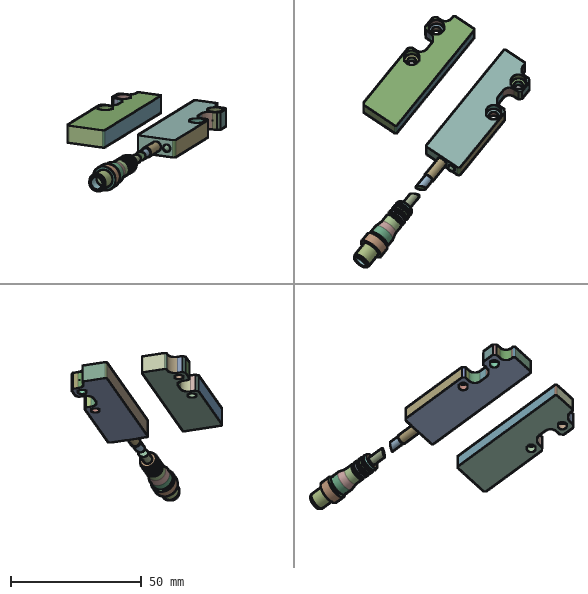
import cadquery as cq
import math


OVERALL_LENGTH = 103.8

BLOCK_WIDTH = 16.0
BLOCK_LENGTH = 51.0
BLOCK_HEIGHT = 7.0
BLOCK_GAP = 14.0
OUTER_CORNER_RADIUS = 1.0
INNER_CORNER_RADIUS = 0.6
CORNER_TOLERANCE = 0.1

RECESS_DEPTH = 6.0
RECESS_RADIUS = 3.0
EAR_LENGTH = 7.0
EAR_CHAMFER = 1.0
HOLE_PITCH = 16.0
END_HOLE_SETBACK = 8.0
HOLE_INSET = 3.5
HOLE_DIAMETER = 3.4
COUNTERBORE_DIAMETER = 6.0
COUNTERBORE_DEPTH = 3.4

SLEEVE_DIAMETER = 4.0
SLEEVE_LENGTH = 8.8
CABLE_DIAMETER = 3.5
STUB_LENGTH = 14.0
CABLE_BREAK = 3.9
CUT_ANGLE = 26.0

LAMP_RADIUS = 1.5
LAMP_INSET = 3.4

TAIL_LENGTH = 5.9
BOOT_DIAMETER = 7.1
BOOT_TAPER = 0.3
GROOVE_DIAMETER = 5.4
GROOVE_WIDTH = 1.2
GROOVE_COUNT = 3
BOOT_LENGTH = 10.9
FLARE_LENGTH = 2.9
GRIP_DIAMETER = 8.5
GRIP_LENGTH = 3.4
NECK_DIAMETER = 6.0
NECK_LENGTH = 0.9
NUT_DIAMETER = 9.5
NUT_LENGTH = 4.0
THREAD_DIAMETER = 7.0
TIP_DIAMETER = 6.3
TIP_LENGTH = 0.7
SOCKET_DIAMETER = 5.0
SOCKET_DEPTH = 5.2

end_hole_y = BLOCK_LENGTH - END_HOLE_SETBACK
inner_hole_y = end_hole_y - HOLE_PITCH
sensor_x = BLOCK_WIDTH + BLOCK_GAP
assembly_width = sensor_x + BLOCK_WIDTH
cable_x = sensor_x + BLOCK_WIDTH / 2
lamp_x = assembly_width - LAMP_INSET
plug_tip_y = BLOCK_LENGTH - OVERALL_LENGTH
boot_y = -(STUB_LENGTH + CABLE_BREAK + TAIL_LENGTH)
boot_end_y = boot_y - BOOT_LENGTH
flare_end_y = boot_end_y - FLARE_LENGTH
grip_end_y = flare_end_y - GRIP_LENGTH
nut_y = grip_end_y - NECK_LENGTH
nut_end_y = nut_y - NUT_LENGTH


def recess(y_min, y_max):
    """Cutter for a recess in the X = 0 side of a block."""
    return (
        cq.Workplane("XY")
        .box(RECESS_DEPTH, y_max - y_min, BLOCK_HEIGHT, centered=(False, False, True))
        .translate((0, y_min, 0))
    )


def vertical_edges_at(x, y):
    """Selector for the vertical edge at one corner."""
    return cq.selectors.BoxSelector(
        (x - CORNER_TOLERANCE, y - CORNER_TOLERANCE, -BLOCK_HEIGHT),
        (x + CORNER_TOLERANCE, y + CORNER_TOLERANCE, BLOCK_HEIGHT),
    )


def make_block():
    """Block with its ears and mounting holes on the X = 0 side."""
    ear_top = end_hole_y + EAR_LENGTH / 2
    ear_bottom = end_hole_y - EAR_LENGTH / 2
    shoulder = inner_hole_y + EAR_LENGTH / 2
    block = cq.Workplane("XY").box(
        BLOCK_WIDTH, BLOCK_LENGTH, BLOCK_HEIGHT, centered=(False, False, True)
    )
    block = block.cut(recess(ear_top, BLOCK_LENGTH)).cut(recess(shoulder, ear_bottom))

    rounded_corners = [
        (0, 0, OUTER_CORNER_RADIUS),
        (BLOCK_WIDTH, 0, INNER_CORNER_RADIUS),
        (BLOCK_WIDTH, BLOCK_LENGTH, INNER_CORNER_RADIUS),
        (RECESS_DEPTH, BLOCK_LENGTH, INNER_CORNER_RADIUS),
    ]
    for y in (ear_top, ear_bottom, shoulder):
        rounded_corners.append((RECESS_DEPTH, y, RECESS_RADIUS))
    for x, y, radius in rounded_corners:
        block = block.edges(vertical_edges_at(x, y)).fillet(radius)
    for y in (ear_top, ear_bottom, shoulder):
        block = block.edges(vertical_edges_at(0, y)).chamfer(EAR_CHAMFER)

    return (
        block.faces(">Z")
        .workplane(origin=(0, 0, 0))
        .pushPoints([(HOLE_INSET, end_hole_y), (HOLE_INSET, inner_hole_y)])
        .cboreHole(HOLE_DIAMETER, COUNTERBORE_DIAMETER, COUNTERBORE_DEPTH)
    )


def cylinder(diameter, y_start, y_end):
    """Round bar on the cable axis, running from y_start down to y_end."""
    return (
        cq.Workplane("XZ", origin=(cable_x, y_start, 0))
        .circle(diameter / 2)
        .extrude(y_start - y_end)
    )


def slanted_cable(y_square, y_cut):
    """Cable with a square end at y_square and a slanted end crossing the axis at y_cut."""
    radius = CABLE_DIAMETER / 2
    rise = radius * math.tan(math.radians(CUT_ANGLE))
    slanted_prism = (
        cq.Workplane("XY", origin=(cable_x, 0, 0))
        .moveTo(-radius, y_square)
        .lineTo(radius, y_square)
        .lineTo(radius, y_cut + rise)
        .lineTo(-radius, y_cut - rise)
        .close()
        .extrude(radius, both=True)
    )
    bar_start = max(y_square, y_cut) + rise
    bar_end = min(y_square, y_cut) - rise
    return cylinder(CABLE_DIAMETER, bar_start, bar_end).intersect(slanted_prism)


def make_sensor():
    """Mirrored block with the cable sleeve, the cable stub and the lamp."""
    block = make_block().mirror("YZ").translate((assembly_width, 0, 0))
    lamp = cq.Workplane("XY").sphere(LAMP_RADIUS).translate((lamp_x, 0, 0))
    return (
        block.union(cylinder(SLEEVE_DIAMETER, 0, -SLEEVE_LENGTH))
        .union(slanted_cable(-SLEEVE_LENGTH, -STUB_LENGTH))
        .union(lamp)
    )


def make_plug():
    """Cable tail, grooved boot, flared grip, nut and stepped threaded end with a socket."""
    boot_radius = BOOT_DIAMETER / 2
    grip_radius = GRIP_DIAMETER / 2
    thread_radius = THREAD_DIAMETER / 2
    tip_radius = TIP_DIAMETER / 2
    body = (
        cq.Workplane("XY")
        .moveTo(0, boot_y)
        .lineTo(boot_radius - BOOT_TAPER, boot_y)
        .lineTo(boot_radius, boot_y - GROOVE_WIDTH)
        .lineTo(boot_radius, boot_end_y)
        .lineTo(grip_radius, flare_end_y)
        .lineTo(grip_radius, grip_end_y)
        .lineTo(NECK_DIAMETER / 2, grip_end_y)
        .lineTo(NECK_DIAMETER / 2, nut_y)
        .lineTo(NUT_DIAMETER / 2, nut_y)
        .lineTo(NUT_DIAMETER / 2, nut_end_y)
        .lineTo(thread_radius, nut_end_y)
        .lineTo(thread_radius, plug_tip_y + TIP_LENGTH)
        .lineTo(tip_radius, plug_tip_y + TIP_LENGTH)
        .lineTo(tip_radius, plug_tip_y)
        .lineTo(0, plug_tip_y)
        .close()
        .revolve(360, (0, 0, 0), (0, 1, 0))
        .translate((cable_x, 0, 0))
    )
    for index in range(GROOVE_COUNT):
        groove_y = boot_y - GROOVE_WIDTH * (2 * index + 1)
        ring = cylinder(NUT_DIAMETER, groove_y, groove_y - GROOVE_WIDTH).cut(
            cylinder(GROOVE_DIAMETER, groove_y, groove_y - GROOVE_WIDTH)
        )
        body = body.cut(ring)
    body = body.cut(cylinder(SOCKET_DIAMETER, plug_tip_y + SOCKET_DEPTH, plug_tip_y))
    return body.union(slanted_cable(boot_y, boot_y + TAIL_LENGTH))


actuator = make_block()
sensor = make_sensor()
plug = make_plug()

result = cq.Compound.makeCompound([actuator.val(), sensor.val(), plug.val()])